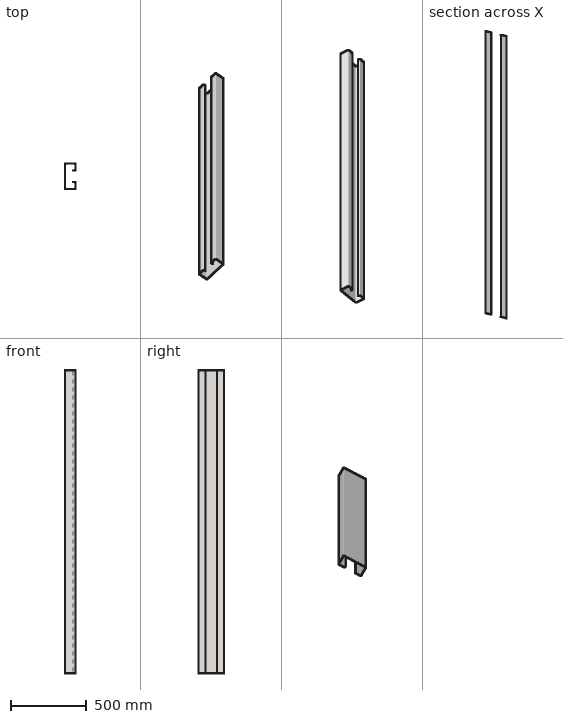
import cadquery as cq

depth = 70.0
width = 170.0
height = 2000.0

wall = 2.0
inner_bend = 2.0
outer_bend = inner_bend + wall
opening = 75.0
return_depth = 15.0

back = -depth / 2
front = depth / 2
side = width / 2
lip_end = opening / 2
return_tip = front - return_depth


def mirrored(points):
    """The same points on the -Y side, in reverse order."""
    return [(x, -y) for x, y in reversed(points)]


def round_bends(body, corners, radius):
    """Round the vertical edge that stands on each sharp corner of the section."""
    for x, y in corners:
        body = body.edges("|Z").edges(cq.NearestToPointSelector((x, y, 0))).fillet(radius)
    return body


outer_half = [(back, side), (front, side), (front, lip_end)]
inner_half = [
    (back + wall, side - wall),
    (front - wall, side - wall),
    (front - wall, lip_end + wall),
]
outer_corners = mirrored(outer_half) + outer_half
inner_corners = mirrored(inner_half) + inner_half

end_edge = [(return_tip, lip_end), (return_tip, lip_end + wall)]

outline = outer_corners + end_edge + inner_corners[::-1] + mirrored(end_edge)
channel = cq.Workplane("XY").polyline(outline).close().extrude(height / 2, both=True)

channel = round_bends(channel, outer_corners, outer_bend)
result = round_bends(channel, inner_corners, inner_bend)